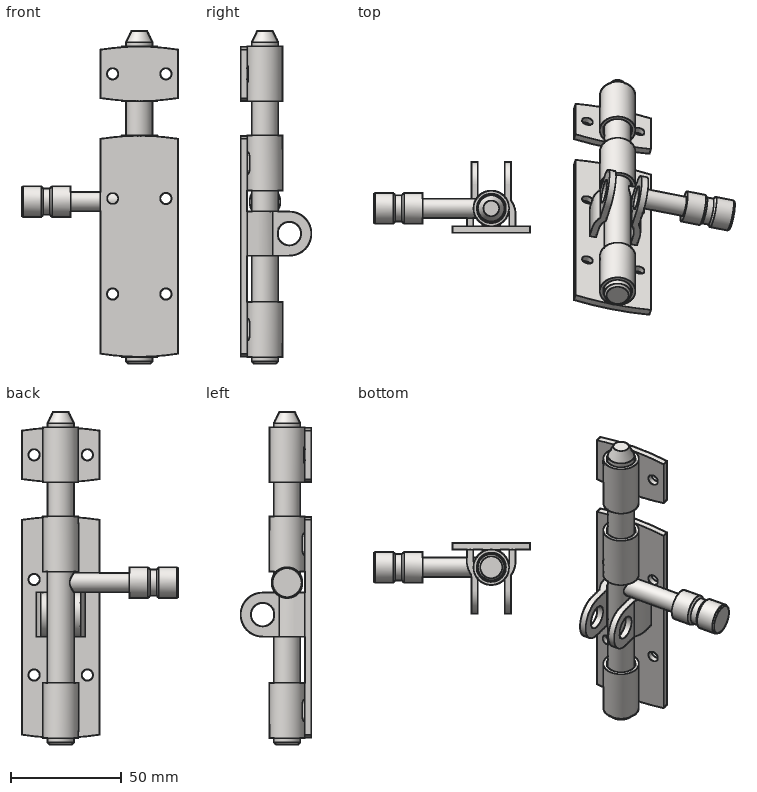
import cadquery as cq
import math


bolt_length = 150.0
bolt_radius = 12.0 / 2
bolt_tip_radius = 7.0 / 2
bolt_tip_height = 5.1
bolt_foot_chamfer = 1.0

plate_width = 35.1
plate_thickness = 3.0
plate_end_bulge = 1.4
plate_end_inset = 0.2
tube_radius = 16.0 / 2
tube_bore_radius = 13.0 / 2
tube_length = 24.9
tube_sink = 0.03
bolt_axis_y = plate_thickness + tube_radius - tube_sink

housing_bottom_z = 3.0
housing_length = 99.9
housing_top_z = housing_bottom_z + housing_length
housing_middle_z = (housing_bottom_z + housing_top_z) / 2
keeper_bottom_z = 118.2
keeper_top_z = keeper_bottom_z + tube_length
keeper_middle_z = (keeper_bottom_z + keeper_top_z) / 2

screw_hole_diameter = 5.0
screw_pitch_x = 24.0
screw_pitch_z = 43.0

housing_pad_width = 8.1
housing_pad_length = 9.9
housing_pad_corner = 2.0
keeper_pad_width = 6.0
keeper_pad_length = 7.0

lug_thickness = 3.0
lug_foot_outer_x = tube_radius + lug_thickness
lug_tip_outer_x = 9.0
lug_bend_start_y = 8.1
lug_height = 20.0
lug_top_y = 32.0
lug_hole_diameter = 10.5
lug_middle_z = 58.6

handle_radius = 8.8 / 2
overall_width = 70.5
handle_end_x = plate_width / 2 - overall_width
handle_z = lug_middle_z + lug_height / 2 + handle_radius
knob_radius = 14.0 / 2
knob_length = 22.0
knob_end_chamfer_radial = 0.5
knob_end_chamfer_axial = 0.8
knob_groove_radius = 12.0 / 2
knob_groove_start = 8.7
knob_groove_width = 5.0


def plate(tubes_bottom_z, tubes_top_z, hole_levels):
    """Flat plate with bulging ends just inside its tube ends and a pair of screw holes at each level."""
    half_width = plate_width / 2
    bottom_z = tubes_bottom_z + plate_end_inset
    top_z = tubes_top_z - plate_end_inset
    blank = (
        cq.Workplane("XZ")
        .moveTo(-half_width, bottom_z + plate_end_bulge)
        .threePointArc((0, bottom_z), (half_width, bottom_z + plate_end_bulge))
        .lineTo(half_width, top_z - plate_end_bulge)
        .threePointArc((0, top_z), (-half_width, top_z - plate_end_bulge))
        .close()
        .extrude(-plate_thickness)
    )
    centres = [(side * screw_pitch_x / 2, z) for z in hole_levels for side in (-1, 1)]
    holes = (
        cq.Workplane("XZ")
        .pushPoints(centres)
        .circle(screw_hole_diameter / 2)
        .extrude(-plate_thickness)
    )
    return blank.cut(holes)


def tube_cylinder(bottom_z, radius):
    """Solid cylinder on the bolt axis, as long as one guide tube."""
    return (
        cq.Workplane("XY", origin=(0, bolt_axis_y, bottom_z))
        .circle(radius)
        .extrude(tube_length)
    )


def pad_plane(middle_z):
    """Workplane on the back of a plate, centred under a tube."""
    return cq.Workplane("XZ", origin=(0, plate_thickness, middle_z))


def lug(side):
    """Padlock lug: a foot on the plate, an inward bend and a round-ended eye."""
    foot_inner_x = lug_foot_outer_x - lug_thickness
    tip_inner_x = lug_tip_outer_x - lug_thickness

    def on_bend(radius, angle):
        """Point on a bend arc, which is centred midway between the lugs."""
        return (radius * math.cos(angle), lug_bend_start_y + radius * math.sin(angle))

    outer_angle = math.acos(lug_tip_outer_x / lug_foot_outer_x)
    inner_angle = math.acos(tip_inner_x / foot_inner_x)
    profile = (
        cq.Workplane("XY", origin=(0, 0, lug_middle_z))
        .moveTo(foot_inner_x, plate_thickness)
        .lineTo(lug_foot_outer_x, plate_thickness)
        .lineTo(lug_foot_outer_x, lug_bend_start_y)
        .threePointArc(
            on_bend(lug_foot_outer_x, outer_angle / 2),
            on_bend(lug_foot_outer_x, outer_angle),
        )
        .lineTo(lug_tip_outer_x, lug_top_y)
        .lineTo(tip_inner_x, lug_top_y)
        .lineTo(*on_bend(foot_inner_x, inner_angle))
        .threePointArc(on_bend(foot_inner_x, inner_angle / 2), (foot_inner_x, lug_bend_start_y))
        .close()
        .extrude(lug_height / 2, both=True)
    )
    eye_radius = lug_height / 2
    eye_y = lug_top_y - eye_radius
    outline = (
        cq.Workplane("YZ", origin=(0, 0, lug_middle_z))
        .moveTo(plate_thickness, -eye_radius)
        .lineTo(eye_y, -eye_radius)
        .threePointArc((lug_top_y, 0), (eye_y, eye_radius))
        .lineTo(plate_thickness, eye_radius)
        .close()
        .moveTo(eye_y, 0)
        .circle(lug_hole_diameter / 2)
        .extrude(lug_foot_outer_x)
    )
    right_lug = profile.intersect(outline)
    return right_lug if side > 0 else right_lug.mirror("YZ")


def make_housing():
    """Long plate with two guide tubes and two padlock lugs."""
    hole_levels = [housing_middle_z + side * screw_pitch_z / 2 for side in (-1, 1)]
    body = plate(housing_bottom_z, housing_top_z, hole_levels)
    tube_levels = (housing_bottom_z, housing_top_z - tube_length)
    for level in tube_levels:
        pad = (
            pad_plane(level + tube_length / 2)
            .rect(housing_pad_width, housing_pad_length)
            .extrude(plate_thickness - bolt_axis_y)
            .edges("|Y")
            .fillet(housing_pad_corner)
        )
        body = body.union(pad).union(tube_cylinder(level, tube_radius))
    for level in tube_levels:
        body = body.cut(tube_cylinder(level, tube_bore_radius))
    for side in (-1, 1):
        body = body.union(lug(side))
    return body


def make_keeper():
    """Short plate with one tube that receives the bolt tip."""
    pad = (
        pad_plane(keeper_middle_z)
        .rect(keeper_pad_width, keeper_pad_length)
        .extrude(plate_thickness - bolt_axis_y)
    )
    return (
        plate(keeper_bottom_z, keeper_top_z, [keeper_middle_z])
        .union(pad)
        .union(tube_cylinder(keeper_bottom_z, tube_radius))
        .cut(tube_cylinder(keeper_bottom_z, tube_bore_radius))
    )


def make_bolt():
    """Round bolt with a tapered tip and a side handle that ends in a grooved knob."""
    shank = (
        cq.Workplane("XZ", origin=(0, bolt_axis_y, 0))
        .moveTo(0, 0)
        .lineTo(bolt_radius - bolt_foot_chamfer, 0)
        .lineTo(bolt_radius, bolt_foot_chamfer)
        .lineTo(bolt_radius, bolt_length - bolt_tip_height)
        .lineTo(bolt_tip_radius, bolt_length)
        .lineTo(0, bolt_length)
        .close()
        .revolve(360, (0, 0, 0), (0, 1, 0))
    )
    groove_depth = knob_radius - knob_groove_radius
    groove_end = knob_groove_start + knob_groove_width
    handle = (
        cq.Workplane("XY", origin=(handle_end_x, bolt_axis_y, handle_z))
        .moveTo(0, 0)
        .lineTo(0, knob_radius - knob_end_chamfer_radial)
        .lineTo(knob_end_chamfer_axial, knob_radius)
        .lineTo(knob_groove_start, knob_radius)
        .lineTo(knob_groove_start + groove_depth, knob_groove_radius)
        .lineTo(groove_end - groove_depth, knob_groove_radius)
        .lineTo(groove_end, knob_radius)
        .lineTo(knob_length, knob_radius)
        .lineTo(knob_length, handle_radius)
        .lineTo(-handle_end_x, handle_radius)
        .lineTo(-handle_end_x, 0)
        .close()
        .revolve(360, (0, 0, 0), (1, 0, 0))
    )
    return shank.union(handle)


housing = make_housing()
keeper = make_keeper()
bolt = make_bolt()

result = cq.Compound.makeCompound([housing.solids().val(), keeper.solids().val(), bolt.solids().val()])